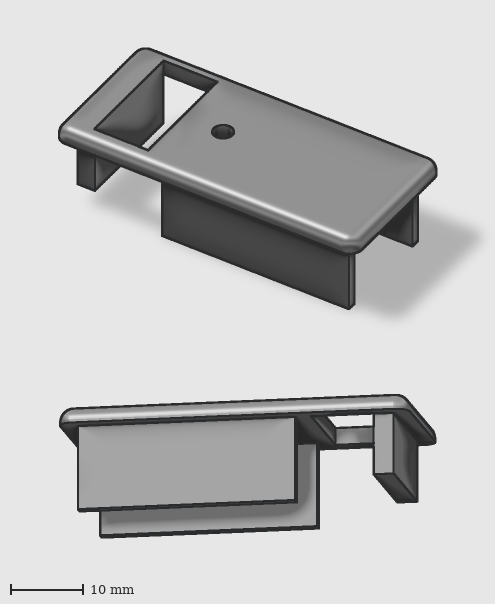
import cadquery as cq

plate_length = 49.3
plate_width = 22.8
plate_thickness = 2.4
edge_radius = 2.0

inset = 2.4
inner_width = plate_width - 2 * inset

total_height = 14.2
wall_depth = total_height - plate_thickness
wall_thickness = 1.5
wall_length = 30.6

tab_length = 2.8
tab_depth = 8.6
tab_side_gap = 0.1
tab_width = inner_width - 2 * tab_side_gap

window_start = inset + tab_length
window_length = 8.8
hole_diameter = 3.0
hole_from_end = 20.6

left_end = -plate_length / 2
right_end = plate_length / 2


def box_from(x_start, length, width, z_bottom, height, y_center=0):
    """Box starting at x_start, centred on y_center and standing on z_bottom."""
    box = cq.Workplane("XY").box(length, width, height, centered=(False, True, False))
    return box.translate((x_start, y_center, z_bottom))


def make_plate():
    plate = box_from(left_end, plate_length, plate_width, 0, plate_thickness)
    plate = plate.edges("|Z").fillet(edge_radius)
    return plate.faces(">Z").edges().fillet(edge_radius)


def make_side_wall(side):
    wall_start = right_end - inset - wall_length
    wall_y = side * (inner_width - wall_thickness) / 2
    return box_from(wall_start, wall_length, wall_thickness, -wall_depth, wall_depth, wall_y)


def make_end_tab():
    return box_from(left_end + inset, tab_length, tab_width, -tab_depth, tab_depth)


def make_window():
    return box_from(left_end + window_start, window_length, inner_width, 0, plate_thickness)


def make_hole():
    hole = cq.Workplane("XY").circle(hole_diameter / 2).extrude(plate_thickness)
    return hole.translate((left_end + hole_from_end, 0, 0))


result = make_plate().cut(make_window()).cut(make_hole())
for side in (-1, 1):
    result = result.union(make_side_wall(side))
result = result.union(make_end_tab())